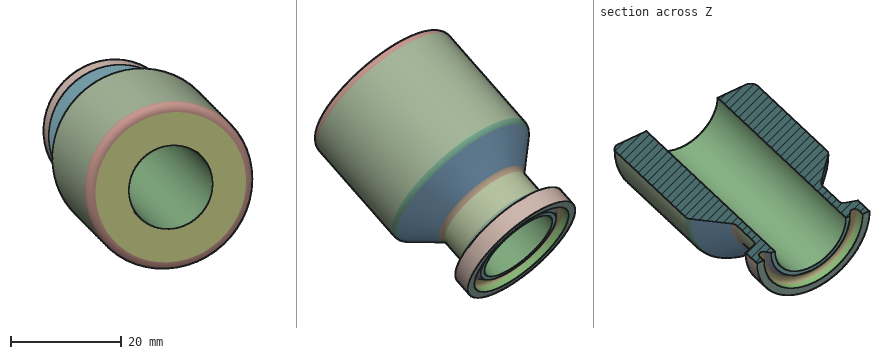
import cadquery as cq
import math


BORE_DIAMETER = 15.75
NECK_DIAMETER = 19.05
FLANGE_DIAMETER = 24.99
BODY_DIAMETER = 31.5

TOTAL_LENGTH = 41.27
FLANGE_RIM_LENGTH = 3.65
SHOULDER_START = 11.1

FLANGE_BACK_ANGLE = 20.0
SHOULDER_ANGLE = 45.0

FLANGE_FILLET = 0.8
SHOULDER_FILLET = 1.5
END_FILLET = 1.6

GROOVE_DIAMETER = 21.89
GROOVE_WALL_DEPTH = 1.3
GROOVE_RADIUS = 0.81
LIP_SLOPE_ANGLE = 40.0
LIP_DIAMETER = 17.5

EDGE_TOLERANCE = 0.01

bore_radius = BORE_DIAMETER / 2
neck_radius = NECK_DIAMETER / 2
flange_radius = FLANGE_DIAMETER / 2
body_radius = BODY_DIAMETER / 2
groove_outer_radius = GROOVE_DIAMETER / 2
lip_radius = LIP_DIAMETER / 2


def fillet_circle(solid, x, radius, fillet):
    """Round the circular edge of the given radius that lies in the plane at x."""
    reach = radius + EDGE_TOLERANCE
    near_corner = (x - EDGE_TOLERANCE, -reach, -reach)
    far_corner = (x + EDGE_TOLERANCE, reach, reach)
    ring = cq.selectors.BoxSelector(near_corner, far_corner, boundingbox=True)
    return solid.edges(ring).fillet(fillet)


def make_body():
    """Turned outside shape: flange, neck, shoulder cone and body."""
    back_length = (flange_radius - neck_radius) * math.tan(math.radians(FLANGE_BACK_ANGLE))
    neck_start = FLANGE_RIM_LENGTH + back_length
    shoulder_length = (body_radius - neck_radius) / math.tan(math.radians(SHOULDER_ANGLE))
    body_start = SHOULDER_START + shoulder_length
    profile = (
        cq.Workplane("XY")
        .moveTo(0, 0)
        .lineTo(0, flange_radius)
        .lineTo(FLANGE_RIM_LENGTH, flange_radius)
        .lineTo(neck_start, neck_radius)
        .lineTo(SHOULDER_START, neck_radius)
        .lineTo(body_start, body_radius)
        .lineTo(TOTAL_LENGTH, body_radius)
        .lineTo(TOTAL_LENGTH, 0)
        .close()
    )
    body = profile.revolve(360, (0, 0, 0), (1, 0, 0))
    body = fillet_circle(body, neck_start, neck_radius, FLANGE_FILLET)
    body = fillet_circle(body, SHOULDER_START, neck_radius, SHOULDER_FILLET)
    body = fillet_circle(body, body_start, body_radius, SHOULDER_FILLET)
    return fillet_circle(body, TOTAL_LENGTH, body_radius, END_FILLET)


def make_face_recess():
    """Recess in the flange face: round-bottomed gasket groove and set-back lip."""
    slope = math.radians(LIP_SLOPE_ANGLE)
    centre_x = GROOVE_WALL_DEPTH
    centre_r = groove_outer_radius - GROOVE_RADIUS

    def groove_point(angle):
        """Point on the groove bottom, turned by angle from the outer wall."""
        return (centre_x + GROOVE_RADIUS * math.sin(angle), centre_r + GROOVE_RADIUS * math.cos(angle))

    arc_sweep = math.pi - slope
    slope_x, slope_r = groove_point(arc_sweep)
    lip_x = slope_x - (slope_r - lip_radius) / math.tan(slope)
    profile = (
        cq.Workplane("XY")
        .moveTo(0, 0)
        .lineTo(0, groove_outer_radius)
        .lineTo(GROOVE_WALL_DEPTH, groove_outer_radius)
        .threePointArc(groove_point(arc_sweep / 2), (slope_x, slope_r))
        .lineTo(lip_x, lip_radius)
        .lineTo(lip_x, 0)
        .close()
    )
    return profile.revolve(360, (0, 0, 0), (1, 0, 0))


def make_bore():
    """Straight through bore."""
    return cq.Workplane("YZ").circle(bore_radius).extrude(TOTAL_LENGTH)


result = make_body().cut(make_face_recess()).cut(make_bore())